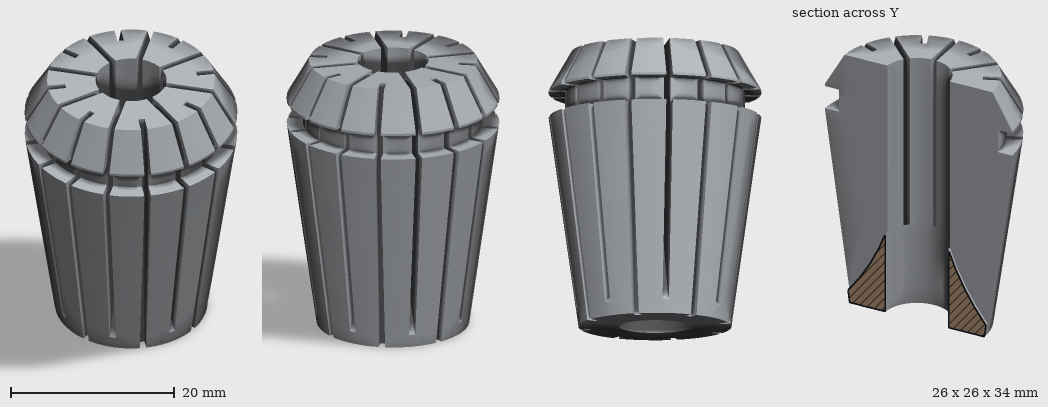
import cadquery as cq
import math

HEIGHT = 34.0
MAX_RADIUS = 13.0
BORE_RADIUS = 4.35

BODY_HEIGHT = 25.9
BODY_TAPER = 8.0
BOTTOM_RADIUS = MAX_RADIUS - BODY_HEIGHT * math.tan(math.radians(BODY_TAPER))

GROOVE_RADIUS = 11.0
GROOVE_WIDTH = 3.05
HEAD_BOTTOM = BODY_HEIGHT + GROOVE_WIDTH
RIM_HEIGHT = 0.3
RIM_TOP = HEAD_BOTTOM + RIM_HEIGHT
HEAD_TAPER = 30.0
HEAD_TOP_RADIUS = MAX_RADIUS - (HEIGHT - RIM_TOP) * math.tan(math.radians(HEAD_TAPER))

SLOT_COUNT = 8
SLOT_WIDTH = 0.8
SLOT_PITCH = 360.0 / SLOT_COUNT
CUT_CLEARANCE = 1.0

SAW_RADIUS = 31.5
FLOOR_BORE_Z = 10.95
FLOOR_SKIN_Z = 1.65
FLOOR_SKIN_RADIUS = BOTTOM_RADIUS + FLOOR_SKIN_Z * math.tan(math.radians(BODY_TAPER))

BLIND_SLOT_RADIUS = 8.1


def make_blank():
    """Revolved collet with its bore, taper, groove and head."""
    profile = (
        cq.Workplane("XZ")
        .moveTo(BORE_RADIUS, 0)
        .lineTo(BOTTOM_RADIUS, 0)
        .lineTo(MAX_RADIUS, BODY_HEIGHT)
        .lineTo(GROOVE_RADIUS, BODY_HEIGHT)
        .lineTo(GROOVE_RADIUS, HEAD_BOTTOM)
        .lineTo(MAX_RADIUS, HEAD_BOTTOM)
        .lineTo(MAX_RADIUS, RIM_TOP)
        .lineTo(HEAD_TOP_RADIUS, HEIGHT)
        .lineTo(BORE_RADIUS, HEIGHT)
        .close()
    )
    return profile.revolve(360, (0, 0, 0), (0, 1, 0))


def make_long_slot():
    """Cutter along +X, from the axis outward, with the saw arc as its floor."""
    top = HEIGHT + CUT_CLEARANCE
    outside = MAX_RADIUS + CUT_CLEARANCE
    half_run = (FLOOR_SKIN_RADIUS - BORE_RADIUS) / 2
    half_drop = (FLOOR_BORE_Z - FLOOR_SKIN_Z) / 2
    half_chord = math.hypot(half_run, half_drop)
    sag = SAW_RADIUS - math.sqrt(SAW_RADIUS**2 - half_chord**2)
    arc_middle = (
        BORE_RADIUS + half_run - sag * half_drop / half_chord,
        FLOOR_SKIN_Z + half_drop - sag * half_run / half_chord,
    )
    return (
        cq.Workplane("XZ")
        .moveTo(0, top)
        .lineTo(0, FLOOR_BORE_Z)
        .lineTo(BORE_RADIUS, FLOOR_BORE_Z)
        .threePointArc(arc_middle, (FLOOR_SKIN_RADIUS, FLOOR_SKIN_Z))
        .lineTo(outside, FLOOR_SKIN_Z)
        .lineTo(outside, top)
        .close()
        .extrude(SLOT_WIDTH / 2, both=True)
    )


def make_blind_slot():
    """Full-height cutter along +X, from the blind end outward."""
    length = MAX_RADIUS + CUT_CLEARANCE - BLIND_SLOT_RADIUS
    return (
        cq.Workplane("XY")
        .box(length, SLOT_WIDTH, HEIGHT + 2 * CUT_CLEARANCE, centered=(False, True, False))
        .translate((BLIND_SLOT_RADIUS, 0, -CUT_CLEARANCE))
    )


def cut_around(body, cutter, start_angle):
    """Cut evenly spaced copies of the cutter around the Z axis."""
    for index in range(SLOT_COUNT):
        angle = start_angle + index * SLOT_PITCH
        body = body.cut(cutter.rotate((0, 0, 0), (0, 0, 1), angle))
    return body


collet = make_blank()
collet = cut_around(collet, make_long_slot(), 0)
collet = cut_around(collet, make_blind_slot(), SLOT_PITCH / 2)
result = collet